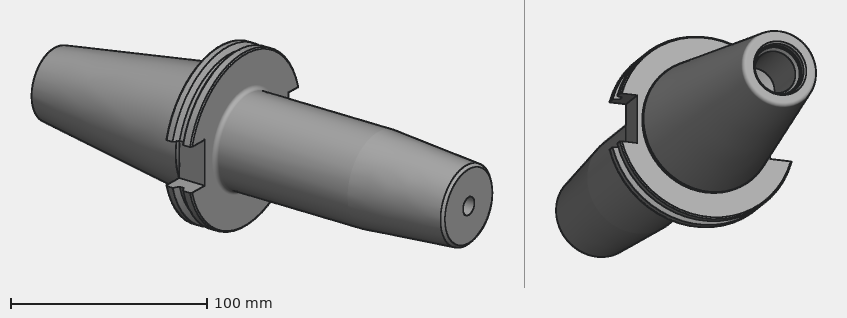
import cadquery as cq
import math

overall_length = 261.5
gauge_x = 102.5
flange_start = 104.6
flange_end = 120.9
nose_start = 204.5

gauge_radius = 70.6 / 2
undercut_radius = 70.0 / 2
small_end_radius = 20.1
shank_rounding = 2.0

flange_radius = 97.3 / 2
flange_chamfer = 0.8
groove_center = 112.5
groove_depth = 3.1
groove_floor_width = 2.5
groove_flank_angle = 30.0
groove_lip_chamfer = 0.5

slot_width = 25.6
slot_floor_back = 37.7
slot_floor_front = 35.0

body_radius = 53.0 / 2
body_fillet = 2.4
nose_tip_radius = 22.2
nose_chamfer = 1.5

entry_radius = 28.8 / 2
counterbore_radius = 26.7 / 2
counterbore_depth = 4.0
step_radius = 26.0 / 2
step_depth = 5.0
relief_radius = 25.0 / 2
relief_depth = 7.0
pilot_radius = 22.2 / 2
pilot_depth = 36.5
coolant_radius = 10.0 / 2
drill_point_angle = 120.0


def make_body():
    """Revolve the outer profile: shank, flange, body and nose."""
    profile = [
        (0, 0),
        (0, small_end_radius),
        (gauge_x, gauge_radius),
        (gauge_x, undercut_radius),
        (flange_start, undercut_radius),
        (flange_start, flange_radius - flange_chamfer),
        (flange_start + flange_chamfer, flange_radius),
        (flange_end - flange_chamfer, flange_radius),
        (flange_end, flange_radius - flange_chamfer),
        (flange_end, body_radius),
        (nose_start, body_radius),
        (overall_length, nose_tip_radius),
        (overall_length, 0),
    ]
    body = cq.Workplane("XY").polyline(profile).close().revolve(360, (0, 0, 0), (1, 0, 0))
    body = body.faces("<X").edges().fillet(shank_rounding)
    body = body.faces(">X").edges().chamfer(nose_chamfer)
    root_reach = body_radius + body_fillet
    flange_root = cq.selectors.BoxSelector(
        (flange_end - body_fillet, -root_reach, -root_reach),
        (flange_end + body_fillet, root_reach, root_reach),
        boundingbox=True,
    )
    return body.edges(flange_root).fillet(body_fillet)


def make_groove():
    """V groove with a flat floor and broken lips around the flange."""
    floor_radius = flange_radius - groove_depth
    lip_radius = flange_radius - groove_lip_chamfer
    floor_half = groove_floor_width / 2
    lip_half = floor_half + (lip_radius - floor_radius) * math.tan(math.radians(groove_flank_angle))
    mouth_half = lip_half + groove_lip_chamfer
    half_profile = [(floor_half, floor_radius), (lip_half, lip_radius), (mouth_half, flange_radius)]
    right = [(groove_center + offset, radius) for offset, radius in half_profile]
    left = [(groove_center - offset, radius) for offset, radius in reversed(half_profile)]
    return cq.Workplane("XY").polyline(right + left).close().revolve(360, (0, 0, 0), (1, 0, 0))


def make_slot(side, floor_distance):
    """Drive slot through the flange; side is +1 or -1 along Y."""
    depth = flange_radius - floor_distance
    slot = cq.Workplane("XY").box(flange_end - flange_start, depth, slot_width)
    return slot.translate(((flange_start + flange_end) / 2, side * (floor_distance + depth / 2), 0))


def make_bore():
    """Stepped bore with a drill-point cone leading into the through hole."""
    cone_length = (pilot_radius - coolant_radius) / math.tan(math.radians(drill_point_angle / 2))
    entry_step = entry_radius - counterbore_radius
    profile = [
        (0, 0),
        (0, entry_radius),
        (entry_step, counterbore_radius),
        (counterbore_depth, counterbore_radius),
        (counterbore_depth, step_radius),
        (step_depth, step_radius),
        (step_depth, relief_radius),
        (relief_depth, pilot_radius),
        (pilot_depth, pilot_radius),
        (pilot_depth + cone_length, coolant_radius),
        (overall_length, coolant_radius),
        (overall_length, 0),
    ]
    return cq.Workplane("XY").polyline(profile).close().revolve(360, (0, 0, 0), (1, 0, 0))


result = (
    make_body()
    .cut(make_groove())
    .cut(make_slot(1, slot_floor_back))
    .cut(make_slot(-1, slot_floor_front))
    .cut(make_bore())
)